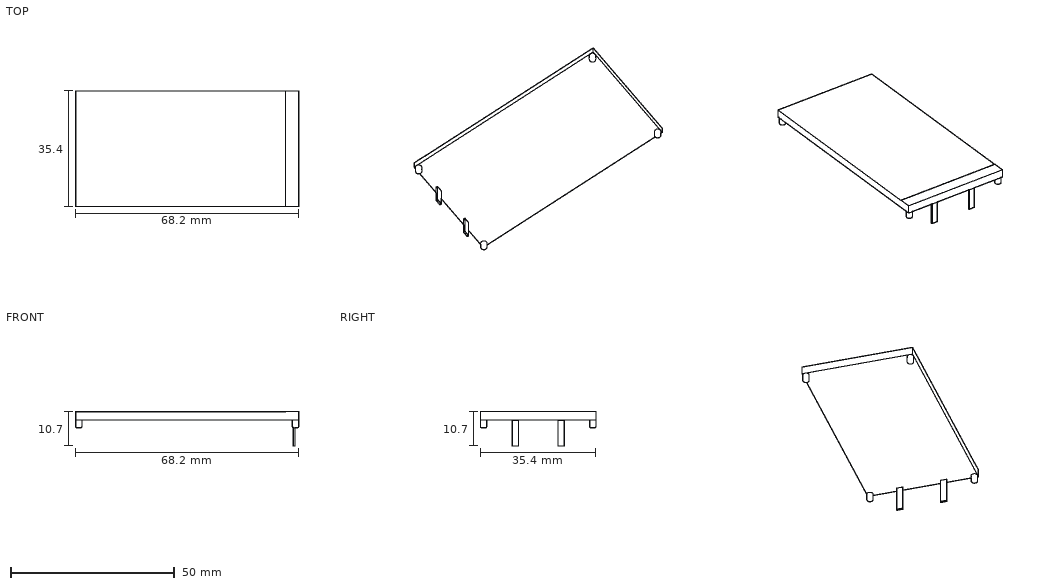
import cadquery as cq

plate_length = 68.2
plate_width = 35.4
plate_thickness = 2.55

strip_length = 4.0
strip_height = 0.1

peg_diameter = 2.0
peg_height = 2.4
peg_tip_radius = 0.5

tab_thickness = 0.6
tab_width = 2.0
tab_height = 8.0
tab_chamfer = 0.07
tab_spacing = 14.0
tab_end_inset = 1.45


def make_plate():
    """Flat plate with its underside at Z = 0, centred in X and Y."""
    return cq.Workplane("XY").box(
        plate_length, plate_width, plate_thickness, centered=(True, True, False)
    )


def make_strip():
    """Full-width strip that stands slightly proud of the plate at its +X end."""
    strip_x = (plate_length - strip_length) / 2
    return (
        cq.Workplane("XY")
        .center(strip_x, 0)
        .rect(strip_length, plate_width)
        .extrude(plate_thickness + strip_height)
    )


def make_pegs():
    """Four round pegs with rounded tips, one under each corner."""
    return (
        cq.Workplane("XY")
        .rect(plate_length - peg_diameter, plate_width - peg_diameter, forConstruction=True)
        .vertices()
        .circle(peg_diameter / 2)
        .extrude(-peg_height)
        .faces("<Z")
        .edges()
        .fillet(peg_tip_radius)
    )


def make_tabs():
    """Two tabs placed symmetrically in Y, with both broad faces chamfered all round."""
    tab_x = plate_length / 2 - tab_end_inset
    return (
        cq.Workplane("XY")
        .pushPoints([(tab_x, side * tab_spacing / 2) for side in (-1, 1)])
        .rect(tab_thickness, tab_width)
        .extrude(-tab_height)
        .faces("<X or >X")
        .edges()
        .chamfer(tab_chamfer)
    )


result = make_plate().union(make_strip()).union(make_pegs()).union(make_tabs())